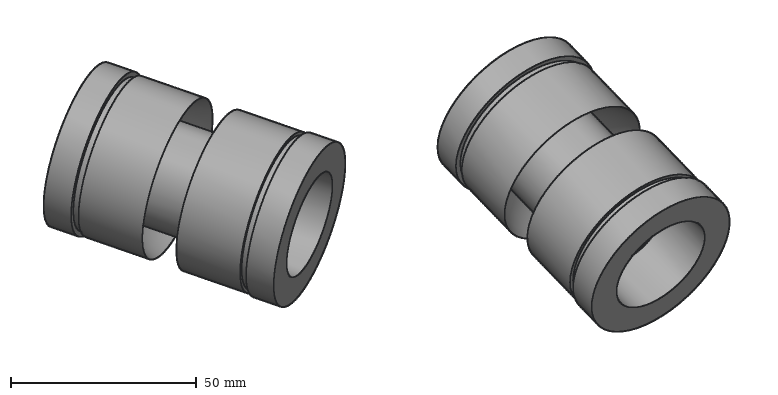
import cadquery as cq
import math

total_length = 68.0
flange_diameter = 47.0
flange_width = 8.15
groove_diameter = 44.0
groove_width = 2.0
land_diameter = 46.05
neck_diameter = 30.0
neck_gap = 10.0
dome_radius = 20.0
dome_rim = 16.9
recess_offset = 3.4

half_length = total_length / 2
half_gap = neck_gap / 2
flange_radius = flange_diameter / 2
groove_radius = groove_diameter / 2
land_radius = land_diameter / 2
neck_radius = neck_diameter / 2
flange_start = half_length - flange_width
groove_start = flange_start - groove_width


def arc_point(center_x, radius, angle):
    """Profile point on a circle centered on the X axis, at an angle from that axis."""
    return center_x + radius * math.cos(angle), radius * math.sin(angle)


def revolve_about_x(profile):
    return profile.revolve(360, (0, 0, 0), (1, 0, 0))


def make_core():
    """Solid neck with a shallow spherical dome at each end."""
    rim_angle = math.asin(neck_radius / dome_radius)
    dome_center = dome_rim - dome_radius * math.cos(rim_angle)
    tip = dome_center + dome_radius
    middle_x, middle_y = arc_point(dome_center, dome_radius, rim_angle / 2)
    return revolve_about_x(
        cq.Workplane("XY")
        .moveTo(-tip, 0)
        .threePointArc((-middle_x, middle_y), (-dome_rim, neck_radius))
        .lineTo(dome_rim, neck_radius)
        .threePointArc((middle_x, middle_y), (tip, 0))
        .close()
    )


def make_sleeve():
    """Flanged sleeve on the +X side; a spherical recess hollows its inner face down to the neck."""
    recess_radius = math.hypot(half_gap + recess_offset, land_radius)
    rim_angle = math.asin(land_radius / recess_radius)
    end_angle = math.asin(neck_radius / recess_radius)
    recess_middle = arc_point(-recess_offset, recess_radius, (rim_angle + end_angle) / 2)
    recess_end = arc_point(-recess_offset, recess_radius, end_angle)
    return revolve_about_x(
        cq.Workplane("XY")
        .moveTo(*recess_end)
        .threePointArc(recess_middle, (half_gap, land_radius))
        .lineTo(groove_start, land_radius)
        .lineTo(groove_start, groove_radius)
        .lineTo(flange_start, groove_radius)
        .lineTo(flange_start, flange_radius)
        .lineTo(half_length, flange_radius)
        .lineTo(half_length, neck_radius)
        .close()
    )


sleeve = make_sleeve()
result = make_core().union(sleeve).union(sleeve.mirror("YZ"))